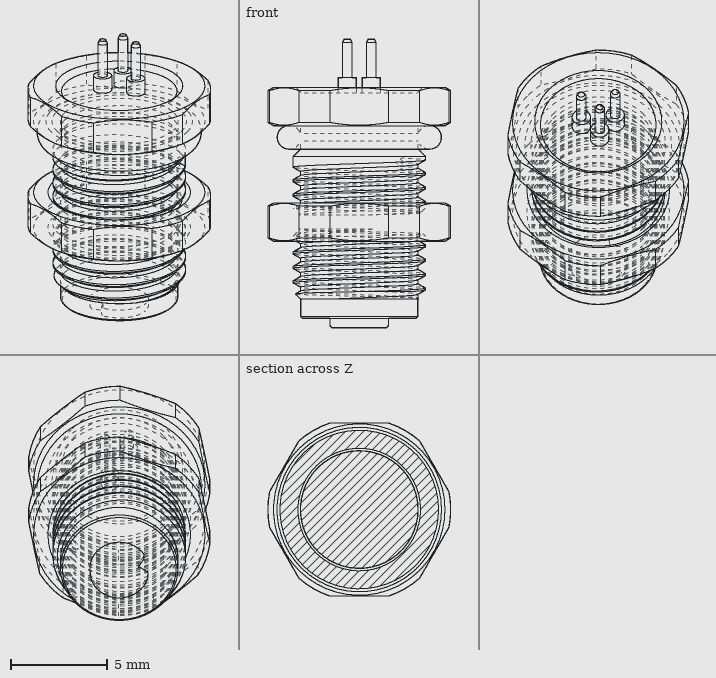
import cadquery as cq
import math

SHOULDER_BOTTOM = 0.5
THREAD_BOTTOM = 1.5
NUT_BOTTOM = 4.5
THREAD_TOP = 8.9
FLANGE_BOTTOM = 10.5
HEX_HEIGHT = 2.0
FLANGE_TOP = FLANGE_BOTTOM + HEX_HEIGHT
COLLAR_TOP = 13.0
PIN_TOP = 15.0

HEX_ACROSS_FLATS = 9.0
HEX_CORNER_DIA = 9.5
HEX_FACE_DIA = 8.9
HEX_CHAMFER_ANGLE = 30.0

DISH_DIA = 6.6
DISH_DEPTH = 0.3

SHOULDER_DIA = 6.1
SHOULDER_CHAMFER = 0.1
NECK_DIA = 6.12

THREAD_DIA = 6.9
THREAD_ROOT_DIA = 6.12
THREAD_PITCH = 0.75
THREAD_FLANK_ANGLE = 30.0
THREAD_CREST_WIDTH = THREAD_PITCH / 8
THREAD_TURNS = 10
THREAD_END_ANGLE = 50.0
THREAD_END_HEIGHT = 8.5
THREAD_CUT_CLEARANCE = 0.05

NUT_BORE_DIA = 6.1
NUT_COUNTERSINK_DIA = 7.4

SEAL_SECTION_DIA = 1.24
SEAL_SQUEEZE = 0.02
SEAL_CENTRE_DIA = 7.3

PLUG_DIA = 3.05
PLUG_EDGE_RADIUS = 0.18
NOTCH_APEX_RADIUS = 0.94
NOTCH_HALF_ANGLE = 45.0
NOTCH_ROUNDING = 0.2

PIN_DIA = 0.5
PIN_TIP_CHAMFER_RADIAL = 0.08
PIN_TIP_CHAMFER_HEIGHT = 0.18
COLLAR_DIA = 0.95
PIN_OFFSET = 0.625
PIN_SIGNS = [(-1, 1), (1, 1), (-1, -1)]


def disc(diameter, bottom, top):
    return cq.Workplane("XY").workplane(offset=bottom).circle(diameter / 2).extrude(top - bottom)


def revolve_profile(points):
    """Turn an outline of (radius, height) points about the Z axis."""
    return cq.Workplane("XZ").polyline(points).close().revolve(360, (0, 0, 0), (0, 1, 0))


def hex_block(bottom):
    """Hexagon with flats on +Y and -Y, and corners turned down to cones at both ends."""
    top = bottom + HEX_HEIGHT
    corner = HEX_CORNER_DIA / 2
    face = HEX_FACE_DIA / 2
    drop = (corner - face) * math.tan(math.radians(HEX_CHAMFER_ANGLE))
    envelope = revolve_profile([
        (0, bottom),
        (face, bottom),
        (corner, bottom + drop),
        (corner, top - drop),
        (face, top),
        (0, top),
    ])
    sharp_corner_dia = HEX_ACROSS_FLATS / math.cos(math.pi / 6)
    prism = cq.Workplane("XY").workplane(offset=bottom).polygon(6, sharp_corner_dia).extrude(HEX_HEIGHT)
    return prism.intersect(envelope)


def flange():
    rim = DISH_DIA / 2
    floor = rim - DISH_DEPTH
    dish = revolve_profile([
        (0, FLANGE_TOP - DISH_DEPTH),
        (floor, FLANGE_TOP - DISH_DEPTH),
        (rim, FLANGE_TOP),
        (0, FLANGE_TOP),
    ])
    return hex_block(FLANGE_BOTTOM).cut(dish)


def nut():
    bore = NUT_BORE_DIA / 2
    mouth = NUT_COUNTERSINK_DIA / 2
    sink = mouth - bore
    top = NUT_BOTTOM + HEX_HEIGHT
    opening = revolve_profile([
        (0, NUT_BOTTOM),
        (mouth, NUT_BOTTOM),
        (bore, NUT_BOTTOM + sink),
        (bore, top - sink),
        (mouth, top),
        (0, top),
    ])
    return hex_block(NUT_BOTTOM).cut(opening)


def stud_blank():
    """Shoulder, unthreaded barrel and neck, with 45 degree cones between them."""
    shoulder = SHOULDER_DIA / 2
    barrel = THREAD_DIA / 2
    neck = NECK_DIA / 2
    return revolve_profile([
        (0, SHOULDER_BOTTOM),
        (shoulder - SHOULDER_CHAMFER, SHOULDER_BOTTOM),
        (shoulder, SHOULDER_BOTTOM + SHOULDER_CHAMFER),
        (shoulder, THREAD_BOTTOM),
        (barrel, THREAD_BOTTOM + barrel - shoulder),
        (barrel, THREAD_TOP),
        (neck, THREAD_TOP + barrel - neck),
        (neck, FLANGE_BOTTOM),
        (0, FLANGE_BOTTOM),
    ])


def thread_groove():
    """Right-handed helical cutter with a trapezoidal section."""
    root = THREAD_ROOT_DIA / 2
    crest = THREAD_DIA / 2
    outside = crest + THREAD_CUT_CLEARANCE
    flank = math.tan(math.radians(THREAD_FLANK_ANGLE))
    half_at_crest = (THREAD_PITCH - THREAD_CREST_WIDTH) / 2
    half_at_root = half_at_crest - (crest - root) * flank
    half_outside = half_at_crest + THREAD_CUT_CLEARANCE * flank
    length = THREAD_TURNS * THREAD_PITCH
    helix = cq.Workplane(obj=cq.Wire.makeHelix(THREAD_PITCH, length, root))
    section = cq.Workplane("XZ").polyline([
        (root, -half_at_root),
        (outside, -half_outside),
        (outside, half_outside),
        (root, half_at_root),
    ]).close()
    groove = section.sweep(helix, isFrenet=True)
    start_height = THREAD_END_HEIGHT - length
    return groove.rotate((0, 0, 0), (0, 0, 1), THREAD_END_ANGLE).translate((0, 0, start_height))


def seal():
    """Round-section ring; each section circle starts on the bore side."""
    height = FLANGE_BOTTOM + SEAL_SQUEEZE - SEAL_SECTION_DIA / 2
    centre = SEAL_CENTRE_DIA / 2
    section_plane = cq.Plane(origin=(centre, 0, height), xDir=(-1, 0, 0), normal=(0, 1, 0))
    section = cq.Workplane(section_plane).circle(SEAL_SECTION_DIA / 2)
    return section.revolve(360, (centre, 0, 0), (centre, 1, 0))


def plug():
    reach = PLUG_DIA / 2
    spread = reach * math.tan(math.radians(NOTCH_HALF_ANGLE))
    notch = cq.Workplane("XY").polyline([
        (0, -NOTCH_APEX_RADIUS),
        (spread, -NOTCH_APEX_RADIUS - reach),
        (-spread, -NOTCH_APEX_RADIUS - reach),
    ]).close().extrude(SHOULDER_BOTTOM)
    body = disc(PLUG_DIA, 0, SHOULDER_BOTTOM).cut(notch)
    notch_edges = cq.selectors.BoxSelector((-reach, -2 * reach, 0), (reach, 0, SHOULDER_BOTTOM))
    body = body.edges("|Z").edges(notch_edges).fillet(NOTCH_ROUNDING)
    return body.faces("<Z").edges().fillet(PLUG_EDGE_RADIUS)


def contact_pin():
    collar = COLLAR_DIA / 2
    pin = PIN_DIA / 2
    floor = FLANGE_TOP - DISH_DEPTH
    return revolve_profile([
        (0, floor),
        (collar, floor),
        (collar, COLLAR_TOP),
        (pin, COLLAR_TOP),
        (pin, PIN_TOP - PIN_TIP_CHAMFER_HEIGHT),
        (pin - PIN_TIP_CHAMFER_RADIAL, PIN_TOP),
        (0, PIN_TOP),
    ])


result = stud_blank().cut(thread_groove())
result = result.union(nut()).union(flange()).union(seal()).union(plug())
for x_sign, y_sign in PIN_SIGNS:
    result = result.union(contact_pin().translate((x_sign * PIN_OFFSET, y_sign * PIN_OFFSET, 0)))